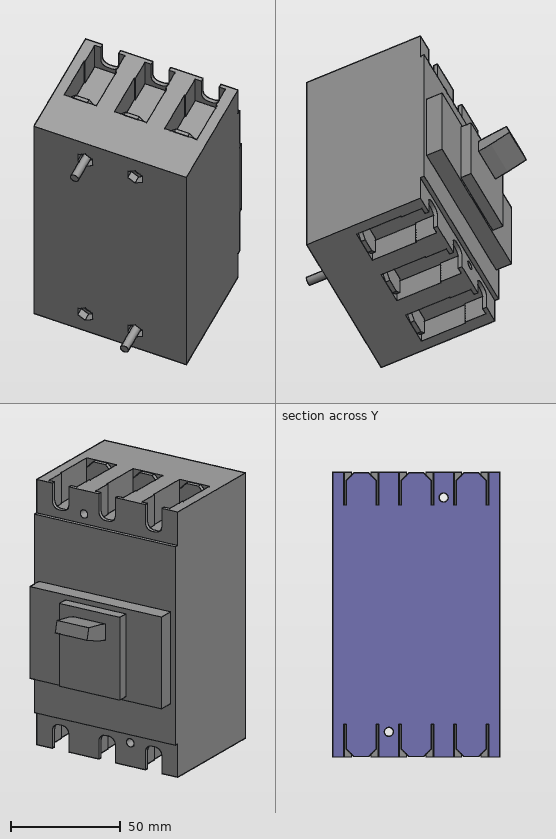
import cadquery as cq
import math

width = 76.2
height = 130.0
total_depth = 100.6
body_depth = 58.0
stud_length = 12.0

plate_height = 97.2
plate_thickness = 2.0
cover_width = 71.1
cover_top = 16.2
cover_bottom = -28.7
cover_thickness = 7.8
bezel_width = 32.6
bezel_top = 13.8
bezel_bottom = -26.8
bezel_thickness = 5.2

plate_front = body_depth + plate_thickness
cover_front = plate_front + cover_thickness
bezel_front = cover_front + bezel_thickness

lever_width = 17.2
lever_tilt = 15.0
lever_axis_z = 5.0
lever_root_thickness = 7.7
lever_tip_thickness = 5.8
lever_root_length = 5.5
lever_embed = 3.9
lever_reach = total_depth - stud_length - bezel_front

pole_pitch = 25.1
pole_positions = (-pole_pitch, 0, pole_pitch)
pocket_depth = 15.0
lip_thickness = 2.0
narrow_width = 15.1
wide_width = 16.1
wide_start = 12.6
pocket_end = 35.0
window_width = 8.8
window_depth = 12.4
window_radius = 3.5
pad_width = 13.8
pad_thickness = 2.1
pad_chamfer = 3.5
pad_gap = 0.3

mount_x = 12.5
mount_z = 53.4
mount_diameter = 4.0
recess_flats = 7.3
recess_depth = 4.0
hex_sides = 6
hex_half_angle = 180 / hex_sides


def block(x_size, y_start, y_end, z_bottom, z_top):
    """Box centred on X, between the given Y and Z limits."""
    box = cq.Workplane("XY").box(x_size, y_end - y_start, z_top - z_bottom, centered=(True, False, False))
    return box.translate((0, y_start, z_bottom))


def rod_along_y(x, z, y_start, y_end):
    """Round rod of the mounting diameter, parallel to Y."""
    start = cq.Vector(x, y_start, z)
    return cq.Workplane(
        cq.Solid.makeCylinder(mount_diameter / 2, y_end - y_start, start, cq.Vector(0, 1, 0))
    )


def hex_recess(x, z):
    """Hexagonal recess in the mounting face, with corners at its top and bottom."""
    corner_diameter = recess_flats / math.cos(math.radians(hex_half_angle))
    prism = cq.Workplane("XZ").polygon(hex_sides, corner_diameter).extrude(-recess_depth)
    return prism.rotate((0, 0, 0), (0, 1, 0), hex_half_angle).translate((x, 0, z))


def lever():
    """Tapered bar, tilted upward about the point where its axis meets the bezel."""
    tilt = math.radians(lever_tilt)
    root = lever_root_thickness / 2
    tip = lever_tip_thickness / 2
    length = (lever_reach - tip * math.sin(tilt)) / math.cos(tilt)
    profile = [
        (-lever_embed, root),
        (lever_root_length, root),
        (length, tip),
        (length, -tip),
        (lever_root_length, -root),
        (-lever_embed, -root),
    ]
    bar = cq.Workplane("YZ").polyline(profile).close().extrude(lever_width / 2, both=True)
    bar = bar.rotate((0, 0, 0), (1, 0, 0), lever_tilt)
    return bar.translate((0, bezel_front, lever_axis_z))


def terminal_pocket():
    """Void of one pole at the top end, with a chamfered terminal pad left on its rear wall."""
    top = height / 2
    floor = top - pocket_depth
    rear = body_depth - pocket_end
    void = block(wide_width, rear, body_depth - wide_start, floor, top)
    void = void.union(block(narrow_width, rear, body_depth - lip_thickness, floor, top))
    window = block(window_width, body_depth - lip_thickness, body_depth, top - window_depth, top)
    window = window.edges("|Y and <Z").fillet(window_radius)
    pad = block(pad_width, rear, rear + pad_thickness, floor, top - pad_gap)
    pad = pad.edges("|Y and >Z").chamfer(pad_chamfer)
    return void.union(window).cut(pad)


result = block(width, 0, body_depth, -height / 2, height / 2)
for pole_x in pole_positions:
    pocket = terminal_pocket().translate((pole_x, 0, 0))
    result = result.cut(pocket).cut(pocket.mirror("XY"))

result = result.union(block(width, body_depth, plate_front, -plate_height / 2, plate_height / 2))
result = result.union(block(cover_width, plate_front, cover_front, cover_bottom, cover_top))
result = result.union(block(bezel_width, cover_front, bezel_front, bezel_bottom, bezel_top))
result = result.union(lever())

for side_x in (-1, 1):
    for side_z in (-1, 1):
        x = side_x * mount_x
        z = side_z * mount_z
        result = result.cut(hex_recess(x, z))
        if side_x == side_z:
            result = result.cut(rod_along_y(x, z, 0, body_depth))
        else:
            result = result.union(rod_along_y(x, z, -stud_length, body_depth))